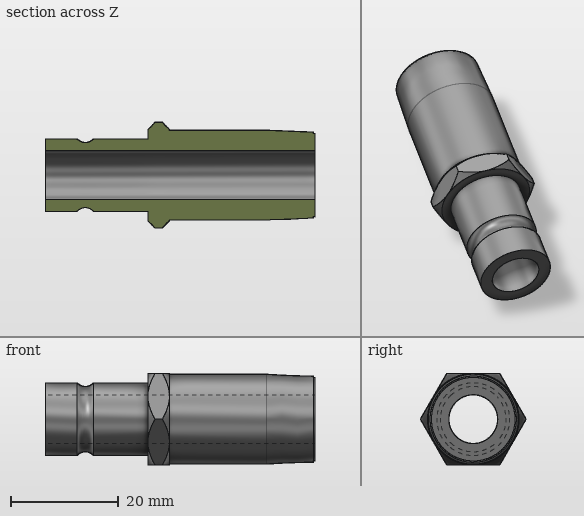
import cadquery as cq
import math

groove_start = 5.9
groove_width = 3.0
hex_start = 19.0
hex_end = 23.0
body_end = 41.0
taper_end = 49.7
total_length = 50.0

tube_radius = 13.5 / 2
bore_radius = 9.0 / 2
hex_sides = 6
hex_across_flats = 17.0
body_radius = 16.7 / 2
taper_end_radius = 16.0 / 2
lip_radius = 15.5 / 2
groove_arc_radius = 2.0
hex_chamfer_angle = 45.0

groove_end = groove_start + groove_width
groove_center = groove_start + groove_width / 2
groove_depth = groove_arc_radius - math.sqrt(groove_arc_radius**2 - (groove_width / 2) ** 2)
hex_across_corners = hex_across_flats / math.cos(math.pi / hex_sides)
hex_face_radius = hex_across_flats / 2
hex_width = hex_end - hex_start
hex_middle = hex_start + hex_width / 2


def revolve_about_x(outline):
    """Turn a closed half profile in the XY plane into a solid of revolution about X."""
    return outline.close().revolve(360, (0, 0, 0), (1, 0, 0))


def make_turned_body():
    """Tube with its round groove, plain body and tapered end with a small lip."""
    outline = (
        cq.Workplane("XY")
        .lineTo(0, tube_radius)
        .lineTo(groove_start, tube_radius)
        .threePointArc((groove_center, tube_radius - groove_depth), (groove_end, tube_radius))
        .lineTo(hex_start, tube_radius)
        .lineTo(hex_start, body_radius)
        .lineTo(body_end, body_radius)
        .lineTo(taper_end, taper_end_radius)
        .lineTo(taper_end, lip_radius)
        .lineTo(total_length, lip_radius)
        .lineTo(total_length, 0)
    )
    return revolve_about_x(outline)


def make_hexagon():
    """Wrench hexagon with corners on the Y axis, both faces chamfered by cones."""
    prism = (
        cq.Workplane("YZ")
        .workplane(offset=hex_start)
        .polygon(hex_sides, hex_across_corners)
        .extrude(hex_width)
    )
    cone_radius = hex_face_radius + hex_width / 2 / math.tan(math.radians(hex_chamfer_angle))
    envelope = revolve_about_x(
        cq.Workplane("XY")
        .moveTo(hex_start, 0)
        .lineTo(hex_start, hex_face_radius)
        .lineTo(hex_middle, cone_radius)
        .lineTo(hex_end, hex_face_radius)
        .lineTo(hex_end, 0)
    )
    return prism.intersect(envelope)


def make_bore():
    """Bore running through the whole length."""
    return cq.Workplane("YZ").circle(bore_radius).extrude(total_length)


result = make_turned_body().union(make_hexagon()).cut(make_bore())